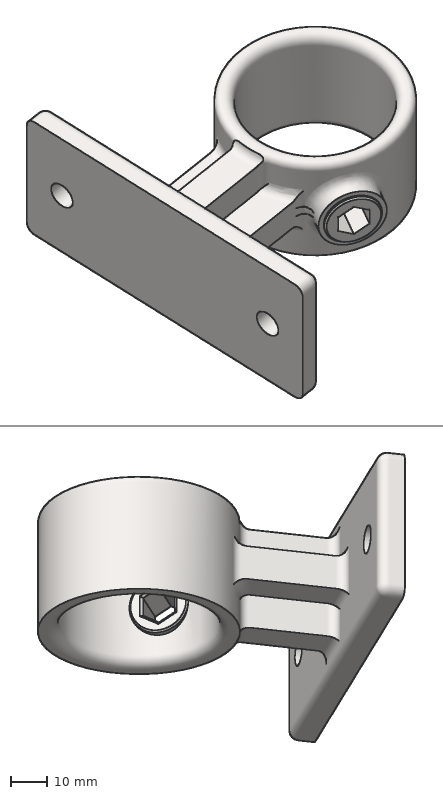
import cadquery as cq
import math

PLATE_LENGTH = 102.0
PLATE_HEIGHT = 44.0
PLATE_THICKNESS = 7.4
PLATE_ROUND = 3.0
MOUNT_HOLE_DIAMETER = 8.0
MOUNT_HOLE_SPACING = 76.0

OVERALL_DEPTH = 91.0
RING_OUTER_DIAMETER = 56.0
RING_BORE_RADIUS = 22.4
RING_HEIGHT = 35.0
RIM_OUTER_ROUND = 2.0
RIM_INNER_ROUND = 3.0

ARM_SPAN = 30.0
ARM_BAR = 10.0
BLEND_RADIUS = 3.0

BOSS_ANGLE = -30.0
BOSS_RADIUS = 10.0
BOSS_REACH = 32.5
SCREW_RADIUS = 8.5
SCREW_INNER_REACH = 20.2
SCREW_PROTRUSION = 1.0
SCREW_CHAMFER = 0.5
SOCKET_ACROSS_FLATS = 9.2
SOCKET_CHAMFER = 0.7

RING_OUTER_RADIUS = RING_OUTER_DIAMETER / 2
RING_Y = OVERALL_DEPTH - RING_OUTER_RADIUS
RING_TOP = RING_HEIGHT / 2
SCREW_OUTER_REACH = BOSS_REACH + SCREW_PROTRUSION
SCREW_LENGTH = SCREW_OUTER_REACH - SCREW_INNER_REACH

SELECT_MARGIN = 0.1


def ring_cylinder(radius, height):
    return cq.Workplane("XY", origin=(0, RING_Y, -height / 2)).circle(radius).extrude(height)


def boss_sketch(reach):
    """Sketch plane square to the boss axis, facing outward, at a distance from the ring axis."""
    angle = math.radians(BOSS_ANGLE)
    outward = cq.Vector(math.cos(angle), math.sin(angle), 0)
    origin = cq.Vector(0, RING_Y, 0) + outward * reach
    return cq.Workplane(cq.Plane(origin=origin, xDir=(0, 0, 1), normal=outward))


def ring_axis_distance(point):
    return math.hypot(point.x, point.y - RING_Y)


def make_plate():
    plate = cq.Workplane("XZ").rect(PLATE_LENGTH, PLATE_HEIGHT).extrude(-PLATE_THICKNESS)
    plate = plate.edges("|Y").fillet(PLATE_ROUND)
    return plate.faces(">Y").edges().fillet(PLATE_ROUND)


def make_arm():
    """Bar with a cross-shaped section, from the plate to the ring axis."""
    sketch = cq.Workplane("XZ", origin=(0, PLATE_THICKNESS, 0))
    length = RING_Y - PLATE_THICKNESS
    upright = sketch.rect(ARM_BAR, ARM_SPAN).extrude(-length)
    crossbar = sketch.rect(ARM_SPAN, ARM_BAR).extrude(-length)
    return upright.union(crossbar)


def blend_arm(body):
    """Fillet the arm into the plate and into the ring wall."""
    reach = ARM_SPAN / 2 + SELECT_MARGIN
    at_plate = cq.selectors.BoxSelector(
        (-reach, PLATE_THICKNESS - SELECT_MARGIN, -reach),
        (reach, PLATE_THICKNESS + SELECT_MARGIN, reach),
    )
    body = body.edges(at_plate).fillet(BLEND_RADIUS)

    near_ring = cq.selectors.BoxSelector(
        (-reach, RING_Y - RING_OUTER_RADIUS - SELECT_MARGIN, -reach), (reach, RING_Y, reach)
    )
    wall_edges = [
        edge for edge in body.edges(near_ring).vals()
        if all(abs(ring_axis_distance(v.Center()) - RING_OUTER_RADIUS) < SELECT_MARGIN for v in edge.Vertices())
    ]
    return body.newObject(wall_edges).fillet(BLEND_RADIUS)


def trim_ring_ends(body):
    """Cut the ring blank, and the fillets standing on it, to the ring height."""
    start = PLATE_THICKNESS + PLATE_ROUND + SELECT_MARGIN
    depth = OVERALL_DEPTH - start
    for side in (-1, 1):
        sketch = cq.Workplane("XY", origin=(0, start + depth / 2, side * RING_TOP))
        body = body.cut(sketch.rect(PLATE_LENGTH, depth).extrude(side * RING_HEIGHT))
    return body


def add_boss(body):
    """Boss that carries the set screw, filleted into the ring wall."""
    body = body.union(boss_sketch(0).circle(BOSS_RADIUS).extrude(BOSS_REACH))
    foot = [
        edge for edge in body.edges("not(%LINE or %CIRCLE)").vals()
        if abs(edge.BoundingBox().zmax - BOSS_RADIUS) < SELECT_MARGIN
    ]
    return body.newObject(foot).fillet(BLEND_RADIUS)


def round_top_rim(body):
    """Round the long outer arc of the ring's top face; the arm interrupts it."""
    arcs = [
        edge for edge in body.edges("%CIRCLE").vals()
        if abs(edge.Center().z - RING_TOP) < SELECT_MARGIN
        and abs(edge.radius() - RING_OUTER_RADIUS) < SELECT_MARGIN
    ]
    outer_arc = max(arcs, key=lambda arc: arc.Length())
    return body.newObject([outer_arc]).fillet(RIM_OUTER_ROUND)


def cut_bore(body):
    """Bore of the ring, rounded at both ends."""
    body = body.cut(ring_cylinder(RING_BORE_RADIUS, RING_HEIGHT))
    ends = [
        edge for edge in body.edges("%CIRCLE").vals()
        if abs(edge.radius() - RING_BORE_RADIUS) < SELECT_MARGIN
    ]
    return body.newObject(ends).fillet(RIM_INNER_ROUND)


def cut_mounting_holes(body):
    places = [(side * MOUNT_HOLE_SPACING / 2, 0) for side in (-1, 1)]
    holes = cq.Workplane("XZ").pushPoints(places).circle(MOUNT_HOLE_DIAMETER / 2)
    return body.cut(holes.extrude(-PLATE_THICKNESS))


def screw_cylinder():
    return boss_sketch(SCREW_INNER_REACH).circle(SCREW_RADIUS).extrude(SCREW_LENGTH)


def make_bracket():
    blank_height = RING_HEIGHT + 4 * BLEND_RADIUS
    bracket = make_plate().union(make_arm()).union(ring_cylinder(RING_OUTER_RADIUS, blank_height))
    bracket = trim_ring_ends(blend_arm(bracket))
    bracket = round_top_rim(add_boss(bracket))
    bracket = cut_mounting_holes(cut_bore(bracket))
    return bracket.cut(screw_cylinder())


def hexagon_diameter(across_flats):
    """Diameter across the corners of a hexagon."""
    return across_flats / math.cos(math.pi / 6)


def make_set_screw():
    """Chamfered set screw with a hexagon socket right through it, chamfered at the inner mouth."""
    screw = screw_cylinder().edges("%CIRCLE").chamfer(SCREW_CHAMFER)
    inner_face = boss_sketch(SCREW_INNER_REACH)
    socket = inner_face.polygon(6, hexagon_diameter(SOCKET_ACROSS_FLATS)).extrude(SCREW_LENGTH)
    mouth_width = SOCKET_ACROSS_FLATS + 2 * SOCKET_CHAMFER
    mouth = inner_face.polygon(6, hexagon_diameter(mouth_width)).extrude(SOCKET_CHAMFER, taper=45)
    return screw.cut(socket).cut(mouth)


bracket = make_bracket()
set_screw = make_set_screw()

result = cq.Compound.makeCompound([bracket.val(), set_screw.val()])